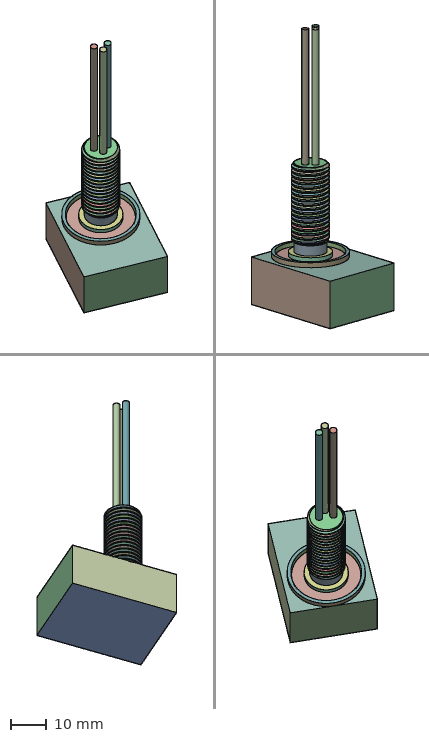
import cadquery as cq
import math

base_length = 32.0
base_width = 25.0
base_height = 14.0

flange_diameter = 22.0
flange_height = 1.5
flange_axis_x = flange_diameter / 2
recess_depth = 1.2
recess_rim_diameter = 20.0
recess_floor_diameter = 19.5
boss_diameter = 12.5

neck_diameter = 9.4
neck_height = 3.0
thread_length = 23.15
thread_diameter = 10.75
thread_turns = 18.5
thread_pitch = thread_length / thread_turns
thread_depth = 0.65
crest_width = 0.4
root_width = 0.2
rod_lead_in = 1.95
envelope_clearance = 0.2
end_chamfer = (thread_diameter - neck_diameter) / 2

wire_diameter = 2.0
wire_offset = wire_diameter
wire_angles = (-90, 0, 90)

overall_height = 81.5
flange_top = base_height + flange_height
recess_floor = flange_top - recess_depth
thread_bottom = flange_top + neck_height
thread_top = thread_bottom + thread_length
wire_length = overall_height - thread_top


def disc(diameter, bottom, height):
    """Cylinder on the stem axis, which is the Z axis."""
    return cq.Workplane("XY").workplane(offset=bottom).circle(diameter / 2).extrude(height)


def make_base():
    block = cq.Workplane("XY").box(base_length, base_width, base_height, centered=(False, True, False))
    return block.translate((-flange_axis_x, 0, 0))


def make_flange():
    """Flange whose recess has a tapered outer wall and a straight inner wall."""
    recess = (
        cq.Workplane("XZ")
        .moveTo(boss_diameter / 2, recess_floor)
        .lineTo(recess_floor_diameter / 2, recess_floor)
        .lineTo(recess_rim_diameter / 2, flange_top)
        .lineTo(boss_diameter / 2, flange_top)
        .close()
        .revolve(360, (0, 0, 0), (0, 1, 0))
    )
    return disc(flange_diameter, base_height, flange_height).cut(recess)


def helix_edge(radius, start):
    """One right-hand turn of a helix about the Z axis, starting on the +X side."""
    turn = cq.Wire.makeHelix(thread_pitch, thread_pitch, radius)
    return turn.translate(cq.Vector(0, 0, start)).Edges()[0]


def rod_end(start, profile):
    """Faces that close the rod: a spiral ramp out to the root and a flat step one pitch high."""
    root_radius = profile[0][0]
    axis_edge = cq.Edge.makeLine(cq.Vector(0, 0, start), cq.Vector(0, 0, start + thread_pitch))
    ramp = cq.Face.makeRuledSurface(axis_edge, helix_edge(root_radius, start))
    outline = [(0, 0)] + profile + [(0, thread_pitch)]
    corners = [cq.Vector(radius, 0, start + rise) for radius, rise in outline]
    step = cq.Face.makeFromWires(cq.Wire.makePolygon(corners, close=True))
    return [ramp, step]


def make_threaded_rod():
    """Right-hand threaded rod skinned turn by turn, longer than the stem at both ends."""
    crest_radius = thread_diameter / 2
    root_radius = crest_radius - thread_depth
    flank_rise = (thread_pitch - root_width - crest_width) / 2
    profile = [
        (root_radius, 0),
        (root_radius, root_width),
        (crest_radius, root_width + flank_rise),
        (crest_radius, root_width + flank_rise + crest_width),
        (root_radius, thread_pitch),
    ]
    rod_bottom = thread_bottom - rod_lead_in
    turns = math.ceil((thread_length + 2 * rod_lead_in) / thread_pitch)

    faces = []
    for turn in range(turns):
        start = rod_bottom + turn * thread_pitch
        for (lower_radius, lower_rise), (upper_radius, upper_rise) in zip(profile, profile[1:]):
            lower_edge = helix_edge(lower_radius, start + lower_rise)
            upper_edge = helix_edge(upper_radius, start + upper_rise)
            faces.append(cq.Face.makeRuledSurface(lower_edge, upper_edge))
    faces += rod_end(rod_bottom, profile)
    faces += rod_end(rod_bottom + turns * thread_pitch, profile)
    return cq.Workplane(obj=cq.Solid.makeSolid(cq.Shell.makeShell(faces)).fix())


def make_thread():
    """Threaded stem with both ends beveled."""
    envelope = disc(thread_diameter + 2 * envelope_clearance, thread_bottom, thread_length)
    envelope = envelope.faces("<Z or >Z").chamfer(end_chamfer + envelope_clearance)
    return make_threaded_rod().intersect(envelope)


def make_wire(angle):
    x = wire_offset * math.cos(math.radians(angle))
    y = wire_offset * math.sin(math.radians(angle))
    return disc(wire_diameter, thread_top, wire_length).translate((x, y, 0))


result = make_base().union(make_flange())
result = result.union(disc(neck_diameter, flange_top, neck_height)).union(make_thread())
for wire_angle in wire_angles:
    result = result.union(make_wire(wire_angle))